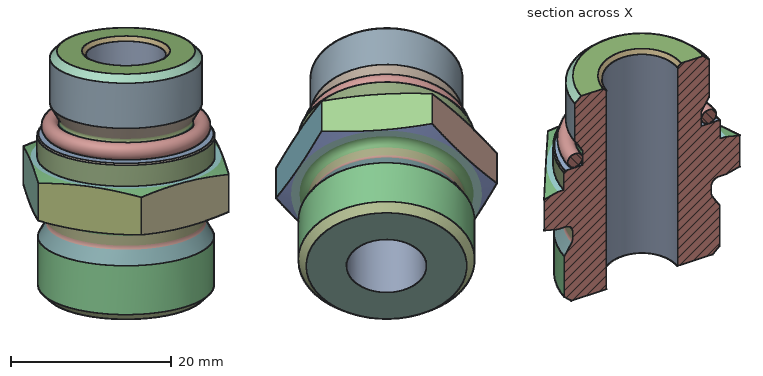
import cadquery as cq
import math

total_height = 32.0
hex_bottom = 12.0
hex_height = 6.0
hex_top = hex_bottom + hex_height
collar_top = 21.0
lower_thread_top = 7.45
upper_thread_bottom = 25.12

bore_radius = 10.0 / 2
lower_thread_radius = 22.0 / 2
upper_thread_radius = 19.05 / 2
lower_neck_radius = 19.7 / 2
ring_groove_radius = 16.77 / 2
collar_radius = 22.2 / 2

hex_across_flats = 24.0
hex_across_corners = hex_across_flats / math.cos(math.radians(30))
hex_chamfer_radius = 11.9
hex_chamfer_angle = math.radians(15)
envelope_clearance = 0.32

lower_chamfer = 1.0
upper_chamfer = 0.9
collar_chamfer = 0.2
bore_chamfer = 0.5
neck_fillet = 1.0
shoulder_angle = math.radians(30)

ring_section_radius = 1.1
ring_center_radius = ring_groove_radius + ring_section_radius
ring_center_height = collar_top + ring_section_radius


def blend_points(neck_radius, thread_radius, thread_edge, direction):
    """Points from a thread edge down its shoulder cone and round a tangent blend to the neck.

    direction is +1 when the neck lies above the thread and -1 when it lies below.
    Returns the end of the cone, the middle of the blend arc and the start of the neck.
    """
    center_radius = neck_radius + neck_fillet
    cone_end_radius = center_radius - neck_fillet * math.cos(shoulder_angle)
    cone_length = (thread_radius - cone_end_radius) / math.tan(shoulder_angle)
    cone_end_height = thread_edge + direction * cone_length
    center_height = cone_end_height + direction * neck_fillet * math.sin(shoulder_angle)
    arc_middle = (
        center_radius - neck_fillet * math.cos(shoulder_angle / 2),
        center_height - direction * neck_fillet * math.sin(shoulder_angle / 2),
    )
    return (cone_end_radius, cone_end_height), arc_middle, (neck_radius, center_height)


def make_turned_body():
    """Revolved threads, necks and collar, still without the hexagon and the bore."""
    lower_cone_end, lower_arc_middle, lower_neck_start = blend_points(
        lower_neck_radius, lower_thread_radius, lower_thread_top, 1
    )
    upper_cone_end, upper_arc_middle, upper_neck_start = blend_points(
        ring_groove_radius, upper_thread_radius, upper_thread_bottom, -1
    )
    fillet_reach = neck_fillet * (1 - math.cos(math.radians(45)))
    profile = (
        cq.Workplane("XZ")
        .lineTo(lower_thread_radius - lower_chamfer, 0)
        .lineTo(lower_thread_radius, lower_chamfer)
        .lineTo(lower_thread_radius, lower_thread_top)
        .lineTo(*lower_cone_end)
        .threePointArc(lower_arc_middle, lower_neck_start)
        .lineTo(lower_neck_radius, hex_bottom - neck_fillet)
        .threePointArc(
            (lower_neck_radius + fillet_reach, hex_bottom - fillet_reach),
            (lower_neck_radius + neck_fillet, hex_bottom),
        )
        .lineTo(collar_radius, hex_bottom)
        .lineTo(collar_radius, collar_top - collar_chamfer)
        .lineTo(collar_radius - collar_chamfer, collar_top)
        .lineTo(ring_groove_radius, collar_top)
        .lineTo(*upper_neck_start)
        .threePointArc(upper_arc_middle, upper_cone_end)
        .lineTo(upper_thread_radius, upper_thread_bottom)
        .lineTo(upper_thread_radius, total_height - upper_chamfer)
        .lineTo(upper_thread_radius - upper_chamfer, total_height)
        .lineTo(0, total_height)
        .close()
    )
    return profile.revolve(360, (0, 0, 0), (0, 1, 0))


def make_hexagon():
    """Hexagon with corners on the Y axis, its corners trimmed by a cone at each end."""
    prism = (
        cq.Workplane("XY", origin=(0, 0, hex_bottom))
        .transformed(rotate=(0, 0, 90))
        .polygon(6, hex_across_corners)
        .extrude(hex_height)
    )
    envelope_radius = hex_across_corners / 2 + envelope_clearance
    chamfer_drop = (envelope_radius - hex_chamfer_radius) * math.tan(hex_chamfer_angle)
    envelope = (
        cq.Workplane("XZ")
        .moveTo(0, hex_bottom)
        .lineTo(hex_chamfer_radius, hex_bottom)
        .lineTo(envelope_radius, hex_bottom + chamfer_drop)
        .lineTo(envelope_radius, hex_top - chamfer_drop)
        .lineTo(hex_chamfer_radius, hex_top)
        .lineTo(0, hex_top)
        .close()
        .revolve(360, (0, 0, 0), (0, 1, 0))
    )
    return prism.intersect(envelope)


def make_bore():
    """Through bore with a chamfered mouth at the top."""
    return (
        cq.Workplane("XZ")
        .lineTo(bore_radius, 0)
        .lineTo(bore_radius, total_height - bore_chamfer)
        .lineTo(bore_radius + bore_chamfer, total_height)
        .lineTo(0, total_height)
        .close()
        .revolve(360, (0, 0, 0), (0, 1, 0))
    )


def make_o_ring():
    """Sealing ring of round section in the groove above the collar."""
    return cq.Workplane(
        cq.Solid.makeTorus(
            ring_center_radius,
            ring_section_radius,
            cq.Vector(0, 0, ring_center_height),
            cq.Vector(0, 0, 1),
        )
    )


fitting = make_turned_body().union(make_hexagon()).cut(make_bore())
o_ring = make_o_ring()

result = cq.Compound.makeCompound([fitting.val(), o_ring.val()])